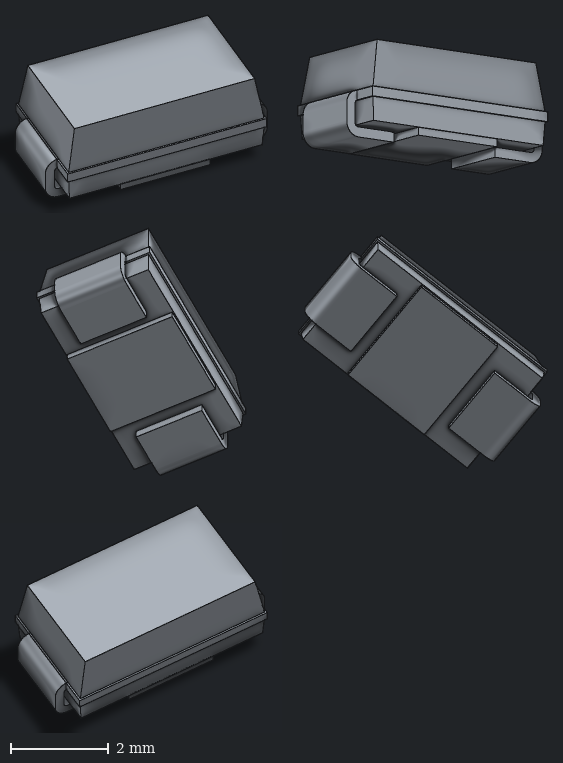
import cadquery as cq

flange_width = 2.58
flange_length = 4.48
flange_top = 0.98

housing_top = 2.0
housing_bottom = 0.275
root_width = 2.5
top_width = 2.32
top_length = 4.06
bottom_width = 2.45
bottom_length = 4.34

pad_width = 2.4
pad_length = 2.01
pad_bottom = 0.11

lead_span = 5.0
lead_width = 1.5
lead_thickness = 0.21
bend_radius = 0.3
foot_length = 1.21

flange_bottom = flange_top - lead_thickness
lead_outer = lead_span / 2
lead_root = lead_outer - bend_radius
root_length = 2 * lead_root
foot_tip = lead_outer - foot_length


def make_taper(root_z, end_z, end_width, end_length):
    """Four-sided taper from the common root rectangle to a smaller end."""
    return (
        cq.Workplane("XY", origin=(0, 0, root_z))
        .rect(root_width, root_length)
        .workplane(offset=end_z - root_z)
        .rect(end_width, end_length)
        .loft(ruled=True)
    )


def make_lead(side):
    """J-bent strip; side is -1 for the -Y end and +1 for the +Y end."""
    inner_radius = bend_radius - lead_thickness
    inner_wall = lead_outer - lead_thickness
    profile = (
        cq.Workplane("YZ", origin=(-lead_width / 2, 0, 0))
        .moveTo(foot_tip, 0)
        .lineTo(lead_root, 0)
        .radiusArc((lead_outer, bend_radius), -bend_radius)
        .lineTo(lead_outer, flange_top - bend_radius)
        .radiusArc((lead_root, flange_top), -bend_radius)
        .lineTo(lead_root, flange_bottom)
        .radiusArc((inner_wall, flange_bottom - inner_radius), inner_radius)
        .lineTo(inner_wall, bend_radius)
        .radiusArc((lead_root, lead_thickness), inner_radius)
        .lineTo(foot_tip, lead_thickness)
        .close()
    )
    lead = profile.extrude(lead_width)
    if side < 0:
        lead = lead.mirror("XZ")
    return lead


def make_housing():
    """Flange and both tapers, with a notch in the flange for each lead."""
    flange = (
        cq.Workplane("XY", origin=(0, 0, flange_bottom))
        .rect(flange_width, flange_length)
        .extrude(lead_thickness)
    )
    upper = make_taper(flange_top, housing_top, top_width, top_length)
    lower = make_taper(flange_bottom, housing_bottom, bottom_width, bottom_length)
    housing = flange.union(upper).union(lower)
    for lead in leads:
        housing = housing.cut(lead)
    return housing


def make_pad():
    """Flat rectangular pad seated on the underside of the housing."""
    return (
        cq.Workplane("XY", origin=(0, 0, pad_bottom))
        .rect(pad_width, pad_length)
        .extrude(housing_bottom - pad_bottom)
    )


leads = [make_lead(side) for side in (-1, 1)]
housing = make_housing()
pad = make_pad()

result = cq.Compound.makeCompound([housing.val(), pad.val(), *[lead.val() for lead in leads]])